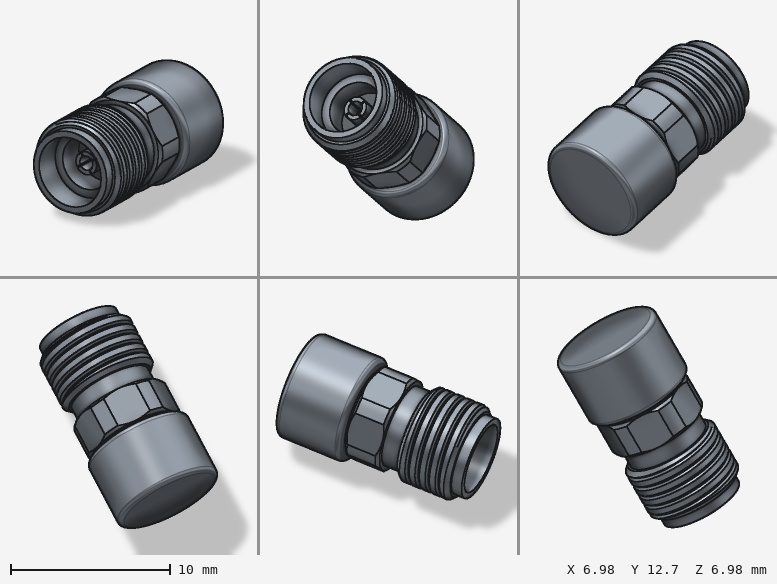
import cadquery as cq
import math

TOTAL_LENGTH = 12.7
SOCKET_END = -TOTAL_LENGTH / 2
CAP_END = TOTAL_LENGTH / 2
THREAD_START = -5.64
THREAD_END = -1.93
HEX_START = -0.75
HEX_END = 1.64
CAP_START = 1.85

CAP_RADIUS = 3.49
CAP_FILLET = 0.3
BARREL_RADIUS = 2.69
NECK_RADIUS = 2.65
HEX_ACROSS_FLATS = 6.0
HEX_CORNER_RADIUS = 3.2
HEX_CHAMFER = 0.2

THREAD_RADIUS = 3.18
THREADS_PER_DIAMETER = 9
THREAD_PITCH = 2 * THREAD_RADIUS / THREADS_PER_DIAMETER
THREAD_CHAMFER = 0.3
GROOVE_DEPTH = 0.15
GROOVE_WIDTH = 0.3
GROOVE_AT_TOP = -2.6
GROOVE_CLEARANCE = 0.05

SOCKET_RADIUS = 2.29
SOCKET_DEPTH = 1.9
INNER_BORE_RADIUS = 1.74
INNER_BORE_DEPTH = 1.9
CONTACT_RADIUS = 0.76
CONTACT_HOLE_RADIUS = 0.47
CONTACT_HOLE_DEPTH = 1.27
SLOT_WIDTH = 0.08
SLOT_ANGLES = (30, 120)

SOCKET_FLOOR = SOCKET_END + SOCKET_DEPTH
INNER_FLOOR = SOCKET_FLOOR + INNER_BORE_DEPTH


def section_at(y):
    """Sketch plane across the axis at y, extruding toward +Y."""
    return cq.Workplane(cq.Plane((0, y, 0), xDir=(1, 0, 0), normal=(0, 1, 0)))


def cylinder(radius, start, end):
    return section_at(start).circle(radius).extrude(end - start)


def make_hex():
    across_corners = HEX_ACROSS_FLATS / math.cos(math.pi / 6)
    length = HEX_END - HEX_START
    prism = section_at(HEX_START).polygon(6, across_corners).extrude(length)
    envelope = cylinder(HEX_CORNER_RADIUS, HEX_START, HEX_END).edges("%CIRCLE").chamfer(HEX_CHAMFER)
    return prism.intersect(envelope)


def make_groove_turn():
    """One right-handed turn of the V groove, starting at +Z with its first end centred on y = 0."""
    outer_radius = THREAD_RADIUS + GROOVE_CLEARANCE
    root_radius = THREAD_RADIUS - GROOVE_DEPTH
    half_width = GROOVE_WIDTH / 2 * (outer_radius - root_radius) / GROOVE_DEPTH
    root = cq.Wire.makeHelix(THREAD_PITCH, THREAD_PITCH, root_radius)
    outer = cq.Wire.makeHelix(THREAD_PITCH, THREAD_PITCH, outer_radius)
    lower = outer.translate(cq.Vector(0, 0, -half_width))
    upper = outer.translate(cq.Vector(0, 0, half_width))
    sides = [
        cq.Face.makeRuledSurface(root, lower),
        cq.Face.makeRuledSurface(lower, upper),
        cq.Face.makeRuledSurface(upper, root),
    ]
    section = [
        cq.Vector(root_radius, 0, 0),
        cq.Vector(outer_radius, 0, -half_width),
        cq.Vector(outer_radius, 0, half_width),
    ]
    start_face = cq.Face.makeFromWires(cq.Wire.makePolygon(section, close=True))
    end_face = start_face.translate(cq.Vector(0, 0, THREAD_PITCH))
    turn = cq.Solid.makeSolid(cq.Shell.makeShell([*sides, start_face, end_face]))
    turn = turn.rotate(cq.Vector(0, 0, 0), cq.Vector(1, 0, 0), -90)
    return turn.rotate(cq.Vector(0, 0, 0), cq.Vector(0, 1, 0), -90)


def make_threaded_collar():
    collar = cylinder(THREAD_RADIUS, THREAD_START, THREAD_END).edges("%CIRCLE").chamfer(THREAD_CHAMFER)
    turns_before = math.ceil((GROOVE_AT_TOP - THREAD_START) / THREAD_PITCH)
    turns_after = math.ceil((THREAD_END - GROOVE_AT_TOP) / THREAD_PITCH)
    groove_turn = make_groove_turn()
    for turn in range(-turns_before, turns_after):
        shift = (0, GROOVE_AT_TOP + turn * THREAD_PITCH, 0)
        collar = collar.cut(cq.Workplane(groove_turn.translate(shift)))
    return collar


def make_contact():
    contact = cylinder(CONTACT_RADIUS, SOCKET_FLOOR, INNER_FLOOR)
    hole_floor = SOCKET_FLOOR + CONTACT_HOLE_DEPTH
    contact = contact.cut(cylinder(CONTACT_HOLE_RADIUS, SOCKET_FLOOR, hole_floor))
    for angle in SLOT_ANGLES:
        slot = section_at(SOCKET_FLOOR).rect(2 * CONTACT_RADIUS, SLOT_WIDTH).extrude(CONTACT_HOLE_DEPTH)
        contact = contact.cut(slot.rotate((0, 0, 0), (0, 1, 0), -angle))
    return contact


def make_housing():
    housing = cylinder(BARREL_RADIUS, SOCKET_END, HEX_START)
    housing = housing.union(make_threaded_collar())
    housing = housing.union(make_hex())
    housing = housing.union(cylinder(NECK_RADIUS, HEX_END, CAP_START))
    housing = housing.cut(cylinder(SOCKET_RADIUS, SOCKET_END, SOCKET_FLOOR))
    housing = housing.cut(cylinder(INNER_BORE_RADIUS, SOCKET_FLOOR, INNER_FLOOR))
    return housing.union(make_contact())


def make_cap():
    return cylinder(CAP_RADIUS, CAP_START, CAP_END).edges("%CIRCLE").fillet(CAP_FILLET)


housing = make_housing()
cap = make_cap()

result = cq.Compound.makeCompound([housing.solids().val(), cap.val()])